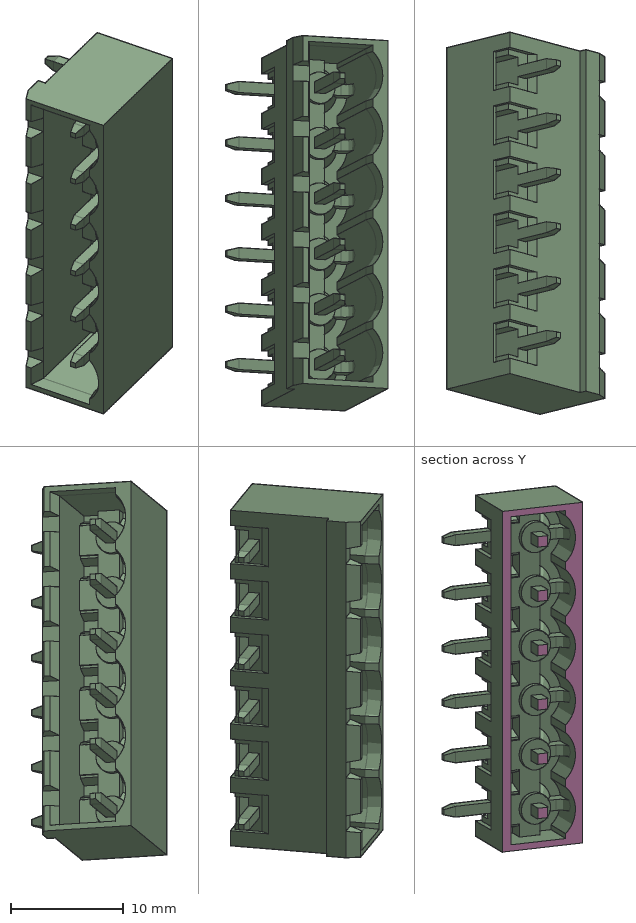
import cadquery as cq


length = 31.4
depth = 12.0
back_x = 7.8
pin_count = 6
end_margin = 3.2
pitch = (length - 2 * end_margin) / (pin_count - 1)
pin_z = [(i - (pin_count - 1) / 2) * pitch for i in range(pin_count)]
pocket_z = [(i - pin_count / 2) * pitch for i in range(pin_count + 1)]

lip_x = -0.72
lip_front_x = -0.22
lip_back_y = 2.98

mouth_depth = 1.22
mouth_left_x = 0.3
mouth_web_x = 6.35
mouth_end_wall = 0.5
cavity_left_x = 0.85
cavity_web_x = 6.12
cavity_end_wall = 0.63
scallop_rise = 0.95
scallop_half_width = 2.15
floor_y = 8.0
low_floor_y = 9.2
low_floor_x = 4.52

notch_front_width = 1.82
notch_width = 1.45

pin_x = 3.92
pin_y = 9.95
pin_width = 1.0
pin_tip_width = 0.5
pin_taper = 1.0
pin_front_y = 1.22
pin_end_x = -4.02

boss_radius = 1.4
boss_front_y = 7.5
cone_radius = 2.17

pocket_right_x = 2.55
pocket_width = 2.25
pocket_step = 0.25
groove_width = 1.82
groove_bottom_width = 0.95
groove_depth = 1.5

recess_width = 3.58
recess_y = 8.5
recess_floor_y = 9.23
recess_depth = 0.5
rear_step = 0.3
rear_step_x = 2.0
slot_width = 2.55
slot_depth = 1.55
slot_end_x = 6.6


def box(x0, x1, y0, y1, z0, z1):
    size = (x1 - x0, y1 - y0, z1 - z0)
    return cq.Workplane("XY").box(*size, centered=False).translate((x0, y0, z0))


def prism(points, z, height):
    """Extrude an XY outline symmetrically about the given Z."""
    return cq.Workplane("XY").workplane(offset=z - height / 2).polyline(points).close().extrude(height)


def xz_plane(y):
    """Workplane with local x = X and local y = Z, extruding toward -Y."""
    return cq.Workplane("XZ", origin=(0, y, 0))


def cavity_outline(work, left_x, web_x, end_wall):
    """Rectangle whose far side bulges into one scallop per pin."""
    half = length / 2 - end_wall
    outline = work.moveTo(left_x, half).lineTo(left_x, -half).lineTo(web_x, -half)
    for z in pin_z:
        outline = outline.lineTo(web_x, z - scallop_half_width)
        outline = outline.threePointArc((web_x + scallop_rise, z), (web_x, z + scallop_half_width))
    return outline.lineTo(web_x, half).close()


def housing():
    outline = [
        (0, depth),
        (0, lip_back_y),
        (lip_x, lip_back_y),
        (lip_x, mouth_depth),
        (lip_front_x, 0),
        (back_x, 0),
        (back_x, depth),
    ]
    return prism(outline, 0, length)


def cavity():
    mouth = cavity_outline(xz_plane(0), mouth_left_x, mouth_web_x, mouth_end_wall)
    mouth = mouth.workplane(offset=-mouth_depth)
    mouth = cavity_outline(mouth, cavity_left_x, cavity_web_x, cavity_end_wall).loft(ruled=True)
    inner = cavity_outline(xz_plane(low_floor_y), cavity_left_x, cavity_web_x, cavity_end_wall)
    inner = inner.extrude(low_floor_y - mouth_depth)
    raised_floor = box(0, low_floor_x, floor_y, depth, -length / 2, length / 2)
    return mouth.union(inner).cut(raised_floor)


def lip_notch(z):
    """Notch from the latch lip into the cavity, narrowing away from the mating face."""
    outline = [
        (-notch_front_width / 2, 0),
        (notch_front_width / 2, 0),
        (notch_width / 2, mouth_depth),
        (-notch_width / 2, mouth_depth),
    ]
    notch = cq.Workplane("ZY", origin=(cavity_left_x, 0, z)).polyline(outline).close()
    return notch.extrude(cavity_left_x - lip_x)


def pocket(z):
    """Stepped pocket in the raised floor, ending in a groove with sloped sides."""
    cut = box(cavity_left_x, pocket_right_x, floor_y, floor_y + pocket_step,
              z - pocket_width / 2, z + pocket_width / 2)
    step_y = floor_y + pocket_step
    bottom_y = floor_y + groove_depth
    outline = [
        (-groove_width / 2, step_y),
        (groove_width / 2, step_y),
        (groove_bottom_width / 2, bottom_y),
        (-groove_bottom_width / 2, bottom_y),
    ]
    groove = cq.Workplane("ZY", origin=(pocket_right_x, 0, z)).polyline(outline).close()
    cut = cut.union(groove.extrude(pocket_right_x - cavity_left_x))
    inside = length / 2 - cavity_end_wall
    return cut.intersect(box(0, back_x, 0, depth, -inside, inside))


def solder_recess(z):
    """Sloped recess in the mounting face with a ramped slot behind the solder leg."""
    recess = prism(
        [
            (0, recess_y),
            (recess_depth, recess_floor_y),
            (recess_depth, depth - rear_step),
            (rear_step_x, depth - rear_step),
            (rear_step_x, depth),
            (0, depth),
        ],
        z,
        recess_width,
    )
    slot = prism(
        [
            (0, depth - slot_depth),
            (slot_end_x, depth - slot_depth),
            (rear_step_x, depth - rear_step),
            (0, depth - rear_step),
        ],
        z,
        slot_width,
    )
    return recess.union(slot)


def pin_support(z):
    """Round boss with a conical skirt and a rib that curves up into the scallop."""
    boss = xz_plane(low_floor_y).center(pin_x, z).circle(boss_radius).extrude(low_floor_y - boss_front_y)
    cone = xz_plane(low_floor_y).center(pin_x, z).circle(cone_radius)
    cone = cone.workplane(offset=low_floor_y - floor_y).circle(boss_radius).loft()
    apex_x = cavity_web_x + scallop_rise
    curve_x = pin_x + cone_radius
    curve = apex_x - curve_x
    rib = (
        cq.Workplane("XY")
        .workplane(offset=z - pin_width / 2)
        .moveTo(pin_x, low_floor_y)
        .lineTo(pin_x, floor_y)
        .lineTo(curve_x, floor_y)
        .radiusArc((apex_x, floor_y - curve), curve)
        .lineTo(apex_x, low_floor_y)
        .close()
        .extrude(pin_width)
    )
    return boss.union(cone).union(rib)


def pin_leg(plane, origin, leg_length):
    """Square leg with a tapered tip, along the plane normal from its origin."""
    leg = cq.Workplane(plane, origin=origin).rect(pin_width, pin_width).extrude(leg_length - pin_taper)
    tip = cq.Workplane(plane, origin=origin).workplane(offset=leg_length - pin_taper)
    tip = tip.rect(pin_width, pin_width).workplane(offset=pin_taper)
    return leg.union(tip.rect(pin_tip_width, pin_tip_width).loft())


def pin(z):
    """L-shaped pin: mating leg toward -Y, solder leg toward -X."""
    half = pin_width / 2
    mating = pin_leg("XZ", (pin_x, pin_y + half, z), pin_y + half - pin_front_y)
    solder = pin_leg("ZY", (pin_x + half, pin_y, z), pin_x + half - pin_end_x)
    return mating.union(solder)


result = housing().cut(cavity())
for z in pocket_z:
    result = result.cut(pocket(z))
for z in pin_z:
    result = result.cut(lip_notch(z)).cut(solder_recess(z))
for z in pin_z:
    result = result.union(pin_support(z)).union(pin(z))